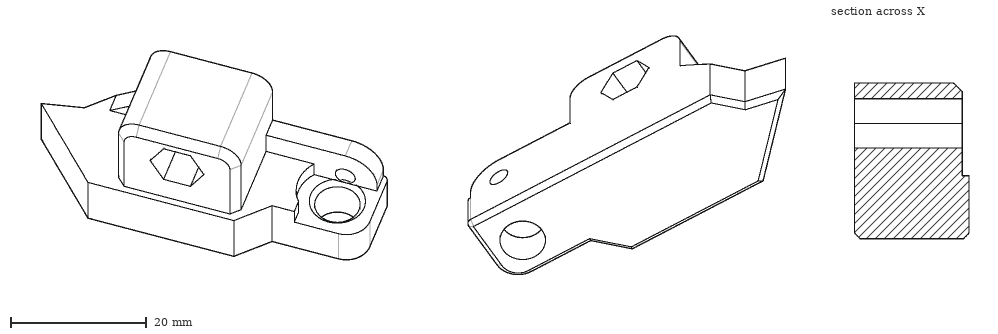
import cadquery as cq
import math


length = 52.35
depth = 16.9
base_height = 9.3
bottom_chamfer = 0.85
tip_y = -4.95
shoulder = (6.3, -3.7)
back_start_x = 10.0
front_start_x = 11.25
front_end_x = 33.9
right_end_front_y = -12.45
front_corner_radius = 3.65
back_corner_radius = 0.9

total_height = 23.0
tower_left_x = 15.25
tower_width = 19.05
tower_depth = 15.9
tower_top_radius = 3.2
tower_chamfer = 1.3
tower_center_x = tower_left_x + tower_width / 2
hex_across_flats = 7.2
hex_center_z = 17.0

lug_thickness = 3.05
lug_top_z = 13.15
lug_radius = 4.9
pin_diameter = 3.1
pin_x = 46.6
pin_z = 8.4
lug_corner_z = lug_top_z - lug_radius

seat_z = 6.8
seat_left_x = 41.85
seat_diameter = 12.15
bore_diameter = 6.7
bore_x = pin_x
bore_y = -6.7
bore_chamfer = 0.8


def make_base():
    diagonal = depth + right_end_front_y
    outline = [
        (0, tip_y),
        shoulder,
        (back_start_x, 0),
        (length, 0),
        (length, right_end_front_y),
        (front_end_x + diagonal, right_end_front_y),
        (front_end_x, -depth),
        (front_start_x, -depth),
    ]
    base = cq.Workplane("XY").polyline(outline).close().extrude(base_height)
    base = base.faces(">X").edges("|Z").edges("<Y").fillet(front_corner_radius)
    base = base.faces(">X").edges("|Z").edges(">Y").fillet(back_corner_radius)
    return base.faces("<Z").chamfer(bottom_chamfer)


def make_seat_cut():
    seat_height = base_height - seat_z
    reach = length - seat_left_x
    plane = cq.Workplane("XY", origin=(0, 0, seat_z))
    pocket = plane.center(seat_left_x, -depth).rect(reach, depth, centered=False).extrude(seat_height)
    clearance = plane.center(bore_x, bore_y).circle(seat_diameter / 2).extrude(seat_height)
    return pocket.union(clearance)


def make_lug():
    return (
        cq.Workplane("XZ")
        .moveTo(back_start_x, seat_z)
        .lineTo(back_start_x, base_height)
        .lineTo(tower_left_x, lug_top_z)
        .lineTo(pin_x, lug_top_z)
        .radiusArc((pin_x + lug_radius, lug_corner_z), lug_radius)
        .lineTo(pin_x + lug_radius, seat_z)
        .close()
        .extrude(lug_thickness)
    )


def make_tower():
    tower = (
        cq.Workplane("XY")
        .workplane(offset=base_height)
        .center(tower_left_x, -tower_depth)
        .rect(tower_width, tower_depth, centered=False)
        .extrude(total_height - base_height)
        .edges("|Y and >Z")
        .fillet(tower_top_radius)
    )
    return tower.faces("<Y").edges("not <Z").chamfer(tower_chamfer)


def make_hex_passage():
    across_corners = hex_across_flats / math.cos(math.radians(30))
    return (
        cq.Workplane("XZ")
        .center(tower_center_x, hex_center_z)
        .polygon(6, across_corners)
        .extrude(tower_depth)
    )


def make_pin_hole():
    return cq.Workplane("XZ").center(pin_x, pin_z).circle(pin_diameter / 2).extrude(lug_thickness)


def make_bore():
    radius = bore_diameter / 2
    profile = [
        (0, 0),
        (radius, 0),
        (radius, seat_z - bore_chamfer),
        (radius + bore_chamfer, seat_z),
        (0, seat_z),
    ]
    bore = cq.Workplane("XZ").polyline(profile).close().revolve(360, (0, 0), (0, 1))
    return bore.translate((bore_x, bore_y, 0))


base = make_base().cut(make_seat_cut())
body = base.union(make_lug()).union(make_tower())
result = body.cut(make_hex_passage()).cut(make_pin_hole()).cut(make_bore())